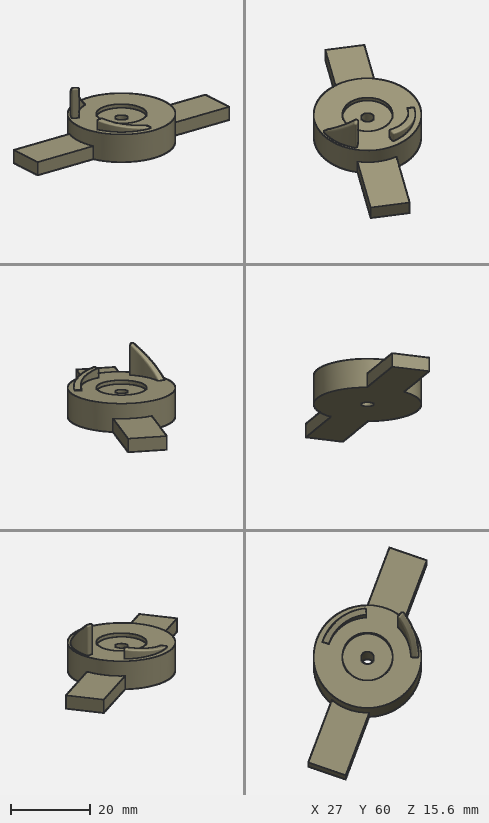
import cadquery as cq
import math

hub_radius = 13.5
hub_height = 7.55
recess_radius = 6.3
recess_depth = 1.0
bore_radius = 1.6

bar_length = 60.0
bar_width = 9.95
bar_height = 3.6

tall_inner_radius = 10.8
tall_outer_radius = 12.85
tall_low_angle = 198.5
tall_high_angle = 247.0
tall_low_height = 0.05
tall_high_height = 8.6
tall_edge_round = 0.5

low_inner_radius = 10.2
low_outer_radius = 11.95
low_low_angle = 1.2
low_high_angle = -68.5
low_low_height = 0.25
low_high_height = 2.6
low_edge_round = 0.35

ramp_embed = 1.2
edge_tolerance = 0.005


def make_hub():
    """Disc and its arm bar, with a shallow round recess and a through bore."""
    hub = cq.Workplane("XY").circle(hub_radius).extrude(hub_height)
    bar = cq.Workplane("XY").box(bar_width, bar_length, bar_height, centered=(True, True, False))
    recess = (
        cq.Workplane("XY")
        .workplane(offset=hub_height - recess_depth)
        .circle(recess_radius)
        .extrude(recess_depth)
    )
    bore = cq.Workplane("XY").circle(bore_radius).extrude(hub_height)
    return hub.union(bar).cut(recess).cut(bore)


def helix_edge(radius, start_angle, end_angle, start_z, end_z):
    """Edge around Z whose height changes linearly with angle."""

    def point(t):
        angle = math.radians(start_angle + t * (end_angle - start_angle))
        z = start_z + t * (end_z - start_z)
        return (radius * math.cos(angle), radius * math.sin(angle), z)

    return cq.Workplane("XY").parametricCurve(point, N=24, makeWire=False).val()


def make_ramp(
    inner_radius, outer_radius, low_angle, high_angle, low_height, high_height, edge_round, round_inner_top
):
    """Curved wall with a helical top, rounded along the top and at its high end.

    The inner top edge stays sharp unless round_inner_top is set.
    """
    root_z = hub_height - ramp_embed
    low_z = hub_height + low_height
    high_z = hub_height + high_height

    def rail(radius, start_z, end_z):
        return helix_edge(radius, low_angle, high_angle, start_z, end_z)

    inner_root = rail(inner_radius, root_z, root_z)
    outer_root = rail(outer_radius, root_z, root_z)
    inner_top = rail(inner_radius, low_z, high_z)
    outer_top = rail(outer_radius, low_z, high_z)

    rails = [inner_root, outer_root, outer_top, inner_top]
    faces = [cq.Face.makeRuledSurface(rails[i - 1], rails[i]) for i in range(len(rails))]
    for end in (0, 1):
        corners = [edge.positionAt(end) for edge in rails]
        faces.append(cq.Face.makeFromWires(cq.Wire.makePolygon(corners, close=True)))
    ramp = cq.Solid.makeSolid(cq.Shell.makeShell(faces))
    ramp = cq.Workplane(cq.Shape.cast(ramp.fix().wrapped))

    low_direction = cq.Vector(math.cos(math.radians(low_angle)), math.sin(math.radians(low_angle)), 0)

    def is_rounded(edge):
        """True for edges above the root, except the low end's and a sharp inner top edge."""
        middle = edge.positionAt(0.5)
        on_inner_wall = math.hypot(middle.x, middle.y) < inner_radius + edge_tolerance
        is_inner_top = on_inner_wall and edge.geomType() != "LINE"
        if is_inner_top and not round_inner_top:
            return False
        offset_from_low_end = abs(low_direction.cross(middle).z)
        return middle.z > root_z + edge_tolerance and offset_from_low_end > edge_tolerance

    edges = [edge for edge in ramp.edges().vals() if is_rounded(edge)]
    return ramp.newObject(edges).fillet(edge_round)


tall_ramp = make_ramp(
    tall_inner_radius, tall_outer_radius, tall_low_angle, tall_high_angle,
    tall_low_height, tall_high_height, tall_edge_round, round_inner_top=True,
)
low_ramp = make_ramp(
    low_inner_radius, low_outer_radius, low_low_angle, low_high_angle,
    low_low_height, low_high_height, low_edge_round, round_inner_top=False,
)

result = make_hub().union(tall_ramp).union(low_ramp)